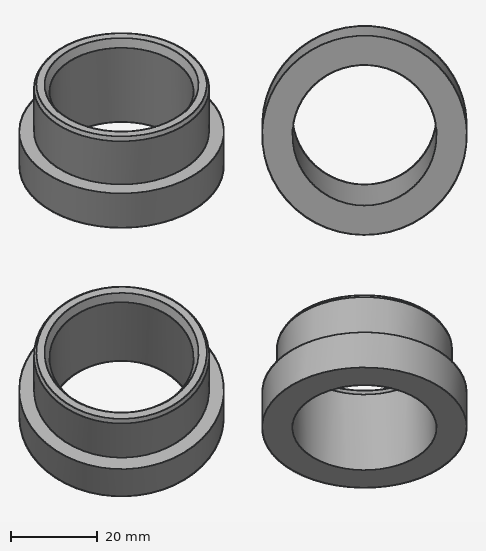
import cadquery as cq
import math

flange_diameter = 47.2
flange_height = 10.0
body_diameter = 40.4
total_height = 23.5
bore_diameter = 33.25

bevel_angle = math.radians(30)
outer_bevel_height = 1.0
inner_bevel_height = 2.0
outer_bevel_width = outer_bevel_height * math.tan(bevel_angle)
inner_bevel_width = inner_bevel_height * math.tan(bevel_angle)

flange_radius = flange_diameter / 2
body_radius = body_diameter / 2
bore_radius = bore_diameter / 2

section = (
    cq.Workplane("XZ")
    .moveTo(bore_radius, 0)
    .lineTo(flange_radius, 0)
    .lineTo(flange_radius, flange_height)
    .lineTo(body_radius, flange_height)
    .lineTo(body_radius, total_height - outer_bevel_height)
    .lineTo(body_radius - outer_bevel_width, total_height)
    .lineTo(bore_radius + inner_bevel_width, total_height)
    .lineTo(bore_radius, total_height - inner_bevel_height)
    .close()
)

result = section.revolve(360, (0, 0, 0), (0, 1, 0))